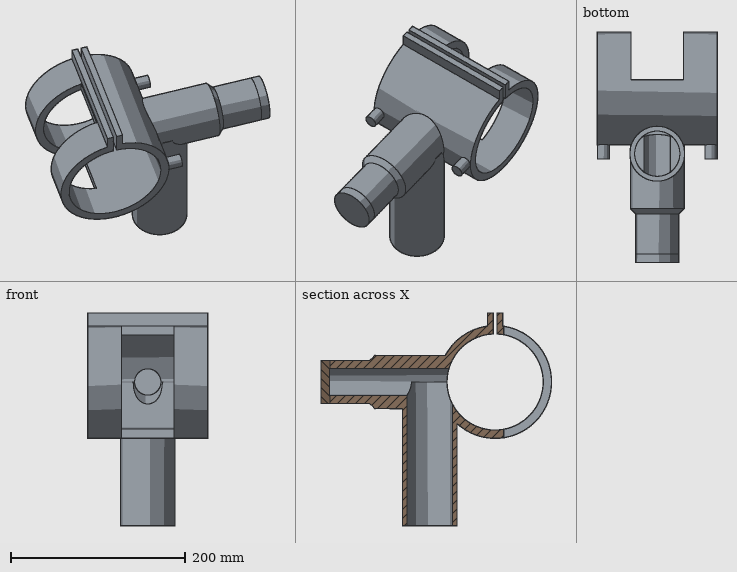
import cadquery as cq

ring_width = 138.0
ring_radius = 65.0
ring_bore_radius = 55.0

ear_top = 79.5
ear_outer_offset = 9.0
slit_width = 4.0

window_width = 59.9
window_edge_offset = 10.0

pin_radius = 7.2
pin_spacing = 123.5
pin_end = 81.0

branch_radius = 31.0
branch_bore_radius = 15.0
spigot_radius = 25.0
shoulder_end = 144.0
branch_end = 200.0
cap_thickness = 10.0
cap_start = branch_end - cap_thickness
shoulder_start = shoulder_end - (branch_radius - spigot_radius)

downpipe_radius = 31.5
downpipe_bore_radius = 26.0
downpipe_offset = 75.0
downpipe_length = 165.0


def cylinder_x(radius):
    """Cylinder on the ring axis, as long as the ring is wide."""
    return cq.Workplane("YZ").circle(radius).extrude(ring_width / 2, both=True)


def cylinder_y(radius, start, end, x=0):
    """Cylinder parallel to Y between two Y positions."""
    return cq.Workplane("XZ", origin=(x, start, 0)).circle(radius).extrude(start - end)


def downpipe_cylinder(radius):
    """Vertical cylinder from the branch axis down to the foot of the downpipe."""
    return (
        cq.Workplane("XY", origin=(0, downpipe_offset, 0))
        .circle(radius)
        .extrude(-downpipe_length)
    )


def make_branch():
    """Solid stepped branch with a conical shoulder, up to the end cap."""
    profile = [
        (0, 0),
        (branch_radius, 0),
        (branch_radius, shoulder_start),
        (spigot_radius, shoulder_end),
        (spigot_radius, cap_start),
        (0, cap_start),
    ]
    return cq.Workplane("XY").polyline(profile).close().revolve(360, (0, 0, 0), (0, 1, 0))


def make_ears():
    """Block on top of the ring, later divided by the slit."""
    return cq.Workplane("XY").box(
        ring_width, 2 * ear_outer_offset, ear_top, centered=(True, True, False)
    )


def make_slit():
    """Slit through the ears and the top of the ring wall."""
    return cq.Workplane("XY").box(ring_width, slit_width, ear_top, centered=(True, True, False))


def make_window():
    """Block that removes the middle of the open side of the ring."""
    return (
        cq.Workplane("XY", origin=(0, -(window_edge_offset + ring_radius) / 2, 0))
        .rect(window_width, ring_radius - window_edge_offset)
        .extrude(ring_radius, both=True)
    )


def make_fitting():
    """Clamp ring, pins, branch and downpipe in one hollow piece."""
    body = cylinder_x(ring_radius).union(make_ears())
    body = body.cut(make_window())
    for side in (-1, 1):
        body = body.union(cylinder_y(pin_radius, 0, pin_end, side * pin_spacing / 2))
    body = body.union(make_branch()).union(downpipe_cylinder(downpipe_radius))
    body = body.cut(cylinder_x(ring_bore_radius)).cut(make_slit())
    body = body.cut(cylinder_y(branch_bore_radius, 0, cap_start))
    return body.cut(downpipe_cylinder(downpipe_bore_radius))


def make_end_cap():
    """Disc that closes the free end of the branch."""
    return cylinder_y(spigot_radius, cap_start, branch_end)


fitting = make_fitting()
end_cap = make_end_cap()

result = cq.Compound.makeCompound([fitting.val(), end_cap.val()])